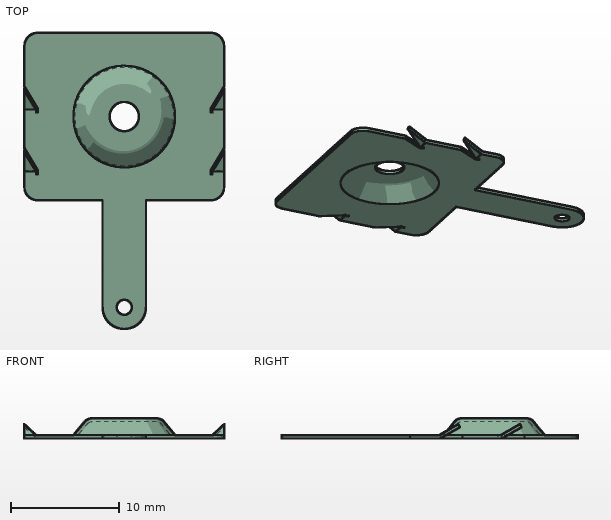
import cadquery as cq
import math

sheet = 0.33
plate_width = 18.5
plate_depth = 15.51
corner_radius = 1.25
overall_length = 27.4
tab_width = 4.03
tab_hole_diameter = 1.37

dome_height = 1.9
dome_slope = 50.0
dome_flat_radius = 3.0
dome_round_radius = 0.88
dome_hole_diameter = 2.69

tooth_width = 1.1
tooth_length = 2.03
tooth_angle = 30.0
root_length = 0.25
notch_depth = 1.23
notch_length = 2.4
notch_straight = 0.35
first_root_y = 0.38
tooth_pitch = 5.7

tab_radius = tab_width / 2
tab_end_y = plate_depth / 2 - overall_length + tab_radius


def make_sheet():
    plate = (
        cq.Workplane("XY")
        .rect(plate_width, plate_depth)
        .extrude(sheet)
        .edges("|Z")
        .fillet(corner_radius)
    )
    tab = (
        cq.Workplane("XY")
        .moveTo(-tab_radius, 0)
        .lineTo(-tab_radius, tab_end_y)
        .threePointArc((0, tab_end_y - tab_radius), (tab_radius, tab_end_y))
        .lineTo(tab_radius, 0)
        .close()
        .extrude(sheet)
    )
    tab_hole = cq.Workplane("XY").center(0, tab_end_y).circle(tab_hole_diameter / 2).extrude(sheet)
    return plate.union(tab).cut(tab_hole)


def dome_body(offset, bottom):
    """Solid of the dome's outer surface moved inward by offset, cut off at height bottom."""
    slope = math.radians(dome_slope)
    round_radius = dome_round_radius - offset
    round_center_z = dome_height - dome_round_radius
    round_end_r = dome_flat_radius + round_radius * math.sin(slope)
    round_end_z = round_center_z + round_radius * math.cos(slope)
    round_mid = (
        dome_flat_radius + round_radius * math.sin(slope / 2),
        round_center_z + round_radius * math.cos(slope / 2),
    )
    base_r = round_end_r + (round_end_z - bottom) / math.tan(slope)
    return (
        cq.Workplane("XZ")
        .moveTo(0, bottom)
        .lineTo(base_r, bottom)
        .lineTo(round_end_r, round_end_z)
        .threePointArc(round_mid, (dome_flat_radius, dome_height - offset))
        .lineTo(0, dome_height - offset)
        .close()
        .revolve(360, (0, 0, 0), (0, 1, 0))
    )


def make_notch(root_y):
    """Cutter for the opening around a tooth on the -X edge."""
    edge_x = -plate_width / 2
    return (
        cq.Workplane("XY")
        .polyline([
            (edge_x, root_y),
            (edge_x + notch_depth, root_y),
            (edge_x + notch_depth, root_y + notch_straight),
            (edge_x, root_y + notch_length),
        ])
        .close()
        .extrude(sheet)
    )


def make_tooth(root_y):
    """Pointed tooth on the -X edge, bent upward from its flat root."""
    edge_x = -plate_width / 2
    angle = math.radians(tooth_angle)
    bend_y = root_y + root_length
    tip_y = bend_y + tooth_length * math.cos(angle)
    tip_z = sheet + tooth_length * math.sin(angle)
    strip = (
        cq.Workplane("YZ", origin=(edge_x, 0, 0))
        .polyline([
            (root_y, 0),
            (bend_y + sheet * math.tan(angle / 2), 0),
            (tip_y + sheet * math.sin(angle), tip_z - sheet * math.cos(angle)),
            (tip_y, tip_z),
            (bend_y, sheet),
            (root_y, sheet),
        ])
        .close()
        .extrude(tooth_width)
    )
    bent_face = cq.Plane(
        origin=(edge_x, bend_y, sheet),
        xDir=(1, 0, 0),
        normal=(0, -math.sin(angle), math.cos(angle)),
    )
    root_reach = 2 * root_length
    outline = (
        cq.Workplane(bent_face)
        .polyline([
            (0, -root_reach),
            (tooth_width, -root_reach),
            (tooth_width, 0),
            (0, tooth_length),
        ])
        .close()
        .extrude(2 * sheet, both=True)
    )
    return strip.intersect(outline)


result = make_sheet().union(dome_body(0, 0)).cut(dome_body(sheet, 0))
dome_hole = cq.Workplane("XY").circle(dome_hole_diameter / 2).extrude(dome_height)
result = result.cut(dome_hole)

for root_y in (first_root_y, first_root_y - tooth_pitch):
    notch = make_notch(root_y)
    tooth = make_tooth(root_y)
    result = result.cut(notch).cut(notch.mirror("YZ"))
    result = result.union(tooth).union(tooth.mirror("YZ"))